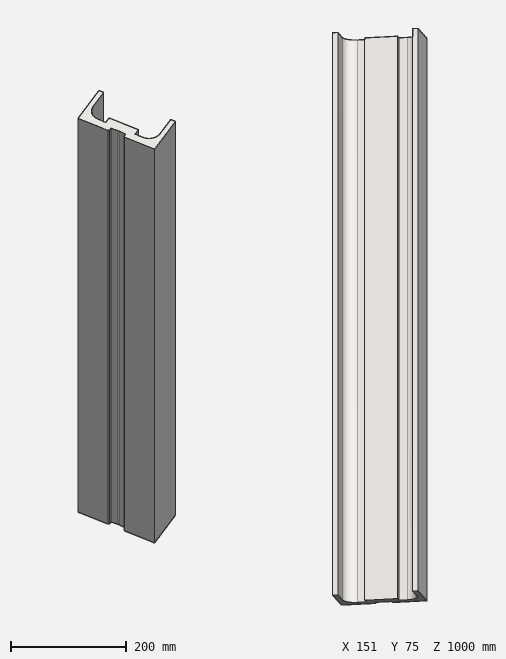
import cadquery as cq

length = 1000.0
width = 151.0
height = 75.0

wall = 9.5
floor = 15.0
corner_radius = 22.0
rib_width = 58.0
rib_height = 27.0
groove_width = 29.0
mouth_chamfer = 2.0
groove_depth = 8.0
groove_flat_rise = 1.0
groove_flat_width = 3.0

outer_face = -height / 2
bottom = -length / 2


def channel():
    """U-shaped channel open towards +Y, with rounded inner corners."""
    body = cq.Workplane("XY").box(width, height, length)
    cavity_depth = height - floor
    cavity = (
        cq.Workplane("XY")
        .box(width - 2 * wall, cavity_depth, length)
        .edges("|Z and <Y")
        .fillet(corner_radius)
        .translate((0, floor / 2, 0))
    )
    return body.cut(cavity)


def centre_rib():
    """Raised rectangular rib along the middle of the channel floor."""
    return (
        cq.Workplane("XY")
        .box(rib_width, rib_height, length)
        .translate((0, outer_face + rib_height / 2, 0))
    )


def groove():
    """Groove with chamfered mouth corners and a shallow V bottom ending in a narrow flat."""
    half_width = groove_width / 2
    half_mouth = half_width + mouth_chamfer
    half_flat = groove_flat_width / 2
    top = outer_face + groove_depth
    shoulder = top - groove_flat_rise
    return (
        cq.Workplane("XY", origin=(0, 0, bottom))
        .moveTo(-half_mouth, outer_face)
        .lineTo(-half_width, outer_face + mouth_chamfer)
        .lineTo(-half_width, shoulder)
        .lineTo(-half_flat, top)
        .lineTo(half_flat, top)
        .lineTo(half_width, shoulder)
        .lineTo(half_width, outer_face + mouth_chamfer)
        .lineTo(half_mouth, outer_face)
        .close()
        .extrude(length)
    )


result = channel().union(centre_rib()).cut(groove())